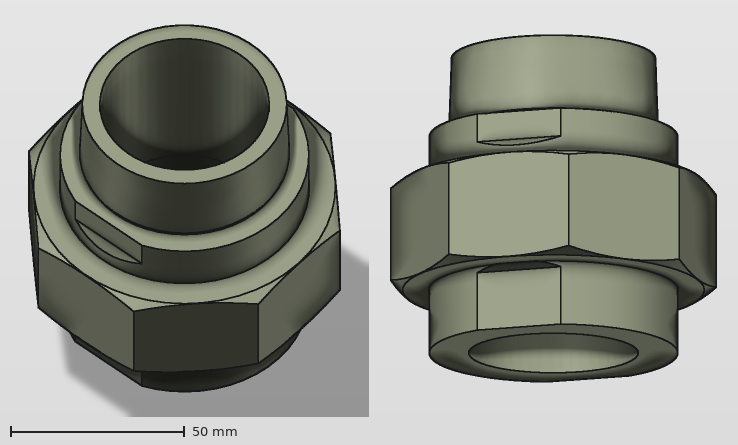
import cadquery as cq
import math

total_height = 87.0
nut_bottom = 18.6
nut_top = 49.5
joint_height = (nut_bottom + nut_top) / 2
collar_top = 63.95

bore_radius = 24.4
collar_radius = 35.8
flat_half_width = 12.6
flat_distance = math.sqrt(collar_radius**2 - flat_half_width**2)
flat_depth = collar_radius - flat_distance
lower_flat_top = 17.0
upper_flat_bottom = 55.7

spigot_base = 65.25
spigot_base_radius = 30.2
spigot_top_radius = 29.4
neck_radius = 29.6
neck_top = spigot_base - (spigot_base_radius - neck_radius)

nut_sides = 8
nut_across_flats = 87.0
nut_corner_radius = nut_across_flats / 2 / math.cos(math.pi / nut_sides)
nut_face_radius = 43.4
nut_clearance = 0.2
nut_hole_radius = collar_radius + nut_clearance
nut_chamfer_height = 1.9


def ring_of_profile(points):
    """Revolve a closed (radius, height) outline about the Z axis."""
    return cq.Workplane("XZ").polyline(points).close().revolve(360, (0, 0, 0), (0, 1, 0))


def wrench_flat_cutters(run_out, open_end):
    """Cutters for -Y and +Y flats, each ending in a 45 degree run-out away from the open end."""
    run_out_direction = math.copysign(1, run_out - open_end)
    outline = [
        (flat_distance, open_end),
        (flat_distance, run_out),
        (flat_distance + flat_depth, run_out + run_out_direction * flat_depth),
        (flat_distance + flat_depth, open_end),
    ]
    cutter = (
        cq.Workplane("YZ")
        .polyline(outline)
        .close()
        .extrude(collar_radius, both=True)
    )
    return cutter.union(cutter.mirror("XZ"))


def make_lower_end():
    """Plain cylindrical tube end with two wrench flats."""
    tube = cq.Workplane("XY").circle(collar_radius).circle(bore_radius).extrude(joint_height)
    return tube.cut(wrench_flat_cutters(lower_flat_top, 0))


def make_upper_end():
    """Collar with two wrench flats, carrying the tapered spigot."""
    tube = ring_of_profile([
        (bore_radius, joint_height),
        (collar_radius, joint_height),
        (collar_radius, collar_top),
        (neck_radius, collar_top),
        (neck_radius, neck_top),
        (spigot_base_radius, spigot_base),
        (spigot_top_radius, total_height),
        (bore_radius, total_height),
    ])
    return tube.cut(wrench_flat_cutters(upper_flat_bottom, collar_top))


def make_nut():
    """Octagonal nut, loose around the tube ends, with corners turned to a cone at both ends."""
    octagon = (
        cq.Workplane("XY")
        .workplane(offset=nut_bottom)
        .polygon(nut_sides, 2 * nut_corner_radius)
        .extrude(nut_top - nut_bottom)
        .rotate((0, 0, 0), (0, 0, 1), 180 / nut_sides)
    )
    turned_ring = ring_of_profile([
        (nut_hole_radius, nut_bottom),
        (nut_face_radius, nut_bottom),
        (nut_corner_radius, nut_bottom + nut_chamfer_height),
        (nut_corner_radius, nut_top - nut_chamfer_height),
        (nut_face_radius, nut_top),
        (nut_hole_radius, nut_top),
    ])
    return octagon.intersect(turned_ring)


lower_end = make_lower_end()
upper_end = make_upper_end()
nut = make_nut()

result = cq.Compound.makeCompound([lower_end.val(), upper_end.val(), nut.val()])